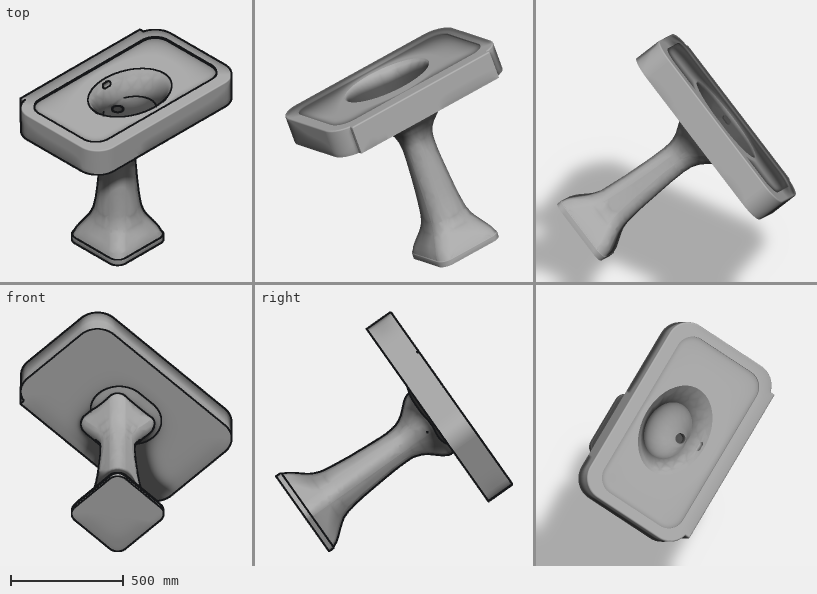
import cadquery as cq
import math

TURN_ABOUT_Z = 45
TILT_ABOUT_X = -math.degrees(math.atan(math.sqrt(2)))

SLAB_LENGTH = 900.0
SLAB_DEPTH = 540.0
SLAB_HEIGHT = 131.0
SLAB_CORNER = 102.0
SLAB_EDGE = 6.0
LEDGE_LENGTH = 750.0
LEDGE_REACH = 19.0

DECK_LENGTH = 803.0
DECK_FRONT = -210.0
DECK_BACK = 220.0
DECK_CORNER = 78.0
DECK_SINK = 7.0
DECK_LEVEL = SLAB_HEIGHT - DECK_SINK

BOWL_CENTER = (3.0, -19.0)
BOWL_HALF_LENGTH = 212.0
BOWL_HALF_DEPTH = 156.0
FLOOR_HALF_LENGTH = 131.0
FLOOR_HALF_DEPTH = 104.0
FLOOR_LEVEL = 20.0

OVERFLOW_LENGTH = 47.0
OVERFLOW_WIDTH = 21.0
OVERFLOW_LEVEL = 97.0
OVERFLOW_END = 148.0

PEDESTAL_Y = 54.0
PEDESTAL_CORNER = 50.0
PEDESTAL_STEP = 75.0
PEDESTAL_HALF_WIDTHS = [128.0, 103.0, 72.0, 69.0, 72.0, 76.0, 82.0, 90.0, 119.0, 156.0]
FOOT_HALF_WIDTH = 159.0
FOOT_HEIGHT = 28.0
FOOT_EDGE = 4.0

DRAIN_CENTER = (0, PEDESTAL_Y)
DRAIN_RADIUS = 26.0
DRAIN_BORE_RADIUS = 23.0
DRAIN_TOP = 0

BOSS_CENTER = (0, 2.0)
BOSS_LENGTH = 339.0
BOSS_WIDTH = 254.0
BOSS_DROP = 45.0
BOSS_END_LENGTH = 127.0
BOSS_END_WIDTH = 95.0


def level(height, center=(0, 0)):
    """Horizontal workplane at a height, with its origin over a plan position."""
    return cq.Workplane("XY", origin=(center[0], center[1], height))


def rounded_block(length, front, back, corner, bottom, top):
    """Upright block between two Y positions, with rounded upright edges."""
    middle = (0, (front + back) / 2)
    block = level(bottom, middle).rect(length, back - front).extrude(top - bottom)
    return block.edges("|Z").fillet(corner)


def make_bowl_cavity():
    """Steep elliptical wall, then a shallow floor falling towards the drain."""
    drain_shift = (DRAIN_CENTER[0] - BOWL_CENTER[0], DRAIN_CENTER[1] - BOWL_CENTER[1])
    wall = (
        level(FLOOR_LEVEL, BOWL_CENTER)
        .ellipse(FLOOR_HALF_LENGTH, FLOOR_HALF_DEPTH)
        .workplane(offset=DECK_LEVEL - FLOOR_LEVEL)
        .ellipse(BOWL_HALF_LENGTH, BOWL_HALF_DEPTH)
        .loft()
    )
    floor = (
        level(FLOOR_LEVEL, BOWL_CENTER)
        .ellipse(FLOOR_HALF_LENGTH, FLOOR_HALF_DEPTH)
        .workplane(offset=DRAIN_TOP - FLOOR_LEVEL)
        .center(*drain_shift)
        .circle(DRAIN_RADIUS)
        .loft()
    )
    return wall.union(floor)


def make_overflow():
    """Horizontal slot running back into the bowl wall."""
    return (
        cq.Workplane("XZ", origin=(0, OVERFLOW_END, OVERFLOW_LEVEL))
        .slot2D(OVERFLOW_LENGTH, OVERFLOW_WIDTH)
        .extrude(OVERFLOW_END - BOWL_CENTER[1])
    )


def make_drain_envelope():
    """Outer cylinder of the drain, through the boss."""
    return level(-BOSS_DROP, DRAIN_CENTER).circle(DRAIN_RADIUS).extrude(DRAIN_TOP + BOSS_DROP)


def make_slab():
    """Rounded slab with the deck recess, the bowl and the overflow cut into it."""
    half_depth = SLAB_DEPTH / 2
    slab = rounded_block(SLAB_LENGTH, -half_depth, half_depth, SLAB_CORNER, 0, SLAB_HEIGHT)
    ledge_back = half_depth + LEDGE_REACH
    ledge = (
        level(0, (0, ledge_back / 2))
        .rect(LEDGE_LENGTH, ledge_back)
        .extrude(SLAB_HEIGHT)
    )
    slab = slab.union(ledge).faces(">Z").edges().fillet(SLAB_EDGE)
    deck = rounded_block(DECK_LENGTH, DECK_FRONT, DECK_BACK, DECK_CORNER, DECK_LEVEL, SLAB_HEIGHT)
    slab = slab.cut(deck).cut(make_bowl_cavity())
    return slab.cut(make_overflow())


def make_boss_envelope():
    """Boss without its drain hole, tapering down from the underside of the slab."""
    return (
        level(0, BOSS_CENTER)
        .slot2D(BOSS_LENGTH, BOSS_WIDTH)
        .workplane(offset=-BOSS_DROP)
        .center(0, DRAIN_CENTER[1] - BOSS_CENTER[1])
        .slot2D(BOSS_END_LENGTH, BOSS_END_WIDTH)
        .loft()
    )


def make_boss():
    return make_boss_envelope().cut(make_drain_envelope())


def make_drain():
    bore = level(-BOSS_DROP, DRAIN_CENTER).circle(DRAIN_BORE_RADIUS).extrude(DRAIN_TOP + BOSS_DROP)
    return make_drain_envelope().cut(bore)


def rounded_square(half_width, height):
    square = cq.Sketch().rect(2 * half_width, 2 * half_width).vertices().fillet(PEDESTAL_CORNER)
    return square.moved(cq.Location(cq.Vector(0, PEDESTAL_Y, height)))


def make_pedestal():
    """Smooth column on its foot, recessed at the top for the boss."""
    sections = [
        rounded_square(half_width, -PEDESTAL_STEP * index)
        for index, half_width in enumerate(PEDESTAL_HALF_WIDTHS)
    ]
    foot_top = -PEDESTAL_STEP * (len(PEDESTAL_HALF_WIDTHS) - 1)
    column = cq.Workplane("XY").placeSketch(*sections).loft()
    foot = (
        cq.Workplane("XY")
        .placeSketch(rounded_square(FOOT_HALF_WIDTH, foot_top))
        .extrude(-FOOT_HEIGHT)
        .faces(">Z")
        .edges()
        .fillet(FOOT_EDGE)
    )
    return column.union(foot).cut(make_boss_envelope())


def set_attitude(body):
    """Turn an upright body into its final attitude."""
    turned = body.rotate((0, 0, 0), (0, 0, 1), TURN_ABOUT_Z)
    return turned.rotate((0, 0, 0), (1, 0, 0), TILT_ABOUT_X)


slab = set_attitude(make_slab())
boss = set_attitude(make_boss())
drain = set_attitude(make_drain())
pedestal = set_attitude(make_pedestal())

result = cq.Compound.makeCompound([slab.val(), boss.val(), drain.val(), pedestal.val()])